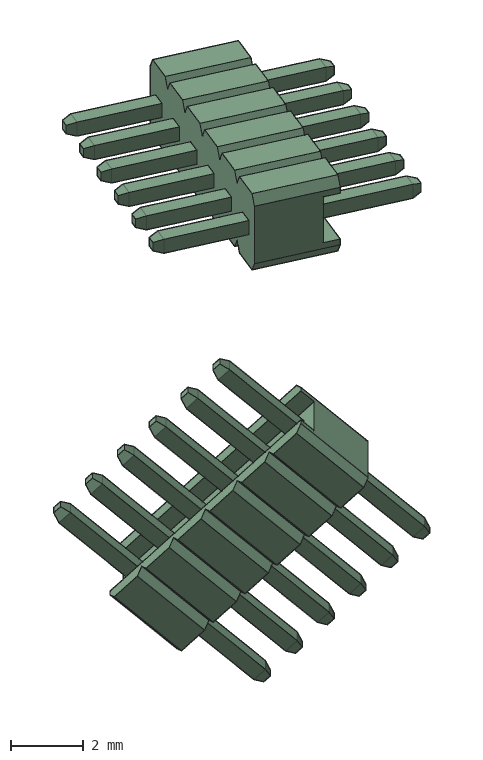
import cadquery as cq

PIN_COUNT = 6
PITCH = 1.27
HOUSING_LENGTH = PIN_COUNT * PITCH
HOUSING_DEPTH = 2.54
HOUSING_HEIGHT = 2.5

BEVEL_WIDTH = 0.175
BEVEL_HEIGHT = 0.31

CHANNEL_DEPTH = 0.5
CHANNEL_HEIGHT = 1.5

PIN_LENGTH = 7.94
PIN_WIDTH = 0.46
PIN_FRONT_REACH = 2.8
TIP_LENGTH = 0.285
TIP_WIDTH = 0.28

HOUSING_FRONT_Y = -HOUSING_DEPTH / 2
HOUSING_REAR_Y = HOUSING_DEPTH / 2
PIN_FRONT_Y = HOUSING_FRONT_Y - PIN_FRONT_REACH
PIN_REAR_Y = PIN_FRONT_Y + PIN_LENGTH


def make_cell(center_x):
    """One housing cell: an eight-sided outline extruded along Y."""
    half_width = PITCH / 2
    half_height = HOUSING_HEIGHT / 2
    flat_x = half_width - BEVEL_WIDTH
    side_z = half_height - BEVEL_HEIGHT
    outline = [
        (-flat_x, -half_height),
        (flat_x, -half_height),
        (half_width, -side_z),
        (half_width, side_z),
        (flat_x, half_height),
        (-flat_x, half_height),
        (-half_width, side_z),
        (-half_width, -side_z),
    ]
    return (
        cq.Workplane("XZ", origin=(center_x, HOUSING_REAR_Y, 0))
        .polyline(outline)
        .close()
        .extrude(HOUSING_DEPTH)
    )


def make_channel():
    """Cutter for the channel that runs the full length of the rear face."""
    center_y = HOUSING_REAR_Y - CHANNEL_DEPTH / 2
    return (
        cq.Workplane("XY")
        .box(HOUSING_LENGTH, CHANNEL_DEPTH, CHANNEL_HEIGHT)
        .translate((0, center_y, 0))
    )


def make_pin_profile():
    """Side outline of a pin, width against Y; the same from both directions."""
    half_tip = TIP_WIDTH / 2
    half_pin = PIN_WIDTH / 2
    front_shoulder_y = PIN_FRONT_Y + TIP_LENGTH
    rear_shoulder_y = PIN_REAR_Y - TIP_LENGTH
    return [
        (-half_tip, PIN_FRONT_Y),
        (half_tip, PIN_FRONT_Y),
        (half_pin, front_shoulder_y),
        (half_pin, rear_shoulder_y),
        (half_tip, PIN_REAR_Y),
        (-half_tip, PIN_REAR_Y),
        (-half_pin, rear_shoulder_y),
        (-half_pin, front_shoulder_y),
    ]


def make_pin(center_x):
    """Square pin: the outline seen along Z intersected with the same one along X."""
    profile = make_pin_profile()
    turned_profile = [(y, z) for z, y in profile]
    plan = cq.Workplane("XY").polyline(profile).close().extrude(PIN_WIDTH / 2, both=True)
    side = cq.Workplane("YZ").polyline(turned_profile).close().extrude(PIN_WIDTH / 2, both=True)
    return plan.intersect(side).translate((center_x, 0, 0))


pin_positions = [(i - (PIN_COUNT - 1) / 2) * PITCH for i in range(PIN_COUNT)]

housing = make_cell(pin_positions[0])
for x in pin_positions[1:]:
    housing = housing.union(make_cell(x))
housing = housing.clean().cut(make_channel())

result = housing
for x in pin_positions:
    result = result.union(make_pin(x))